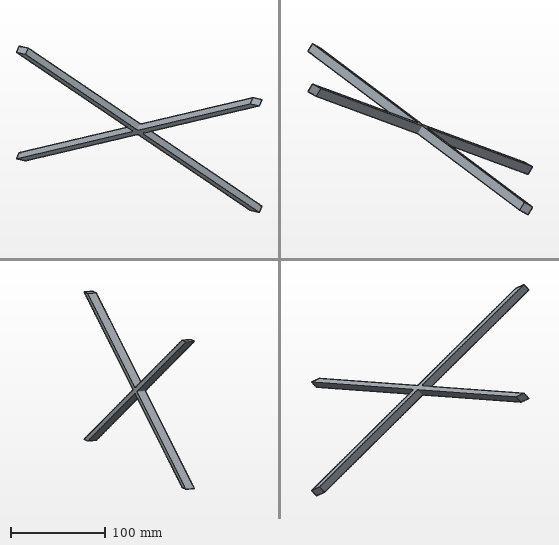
import cadquery as cq

length = 270.0
depth = 10.0
height = 160.0

end_width = 10.3

corner_radius = 1.0

slope = height / (length - end_width)
side_corner_distance = end_width / 2
top_corner_height = slope * side_corner_distance

right_half = [
    (0, -top_corner_height),
    (length / 2 - end_width, -height / 2),
    (length / 2, -height / 2),
    (side_corner_distance, 0),
    (length / 2, height / 2),
    (length / 2 - end_width, height / 2),
]

left_half = [(-x, -z) for x, z in right_half]

crossed_bars = (
    cq.Workplane("XZ")
    .polyline(right_half + left_half)
    .close()
    .extrude(depth / 2, both=True)
)

crossing_size = 2 * end_width
crossing_zone = cq.selectors.BoxSelector(
    (-crossing_size / 2, -depth, -crossing_size / 2),
    (crossing_size / 2, depth, crossing_size / 2),
)
result = crossed_bars.edges("|Y").edges(crossing_zone).fillet(corner_radius)